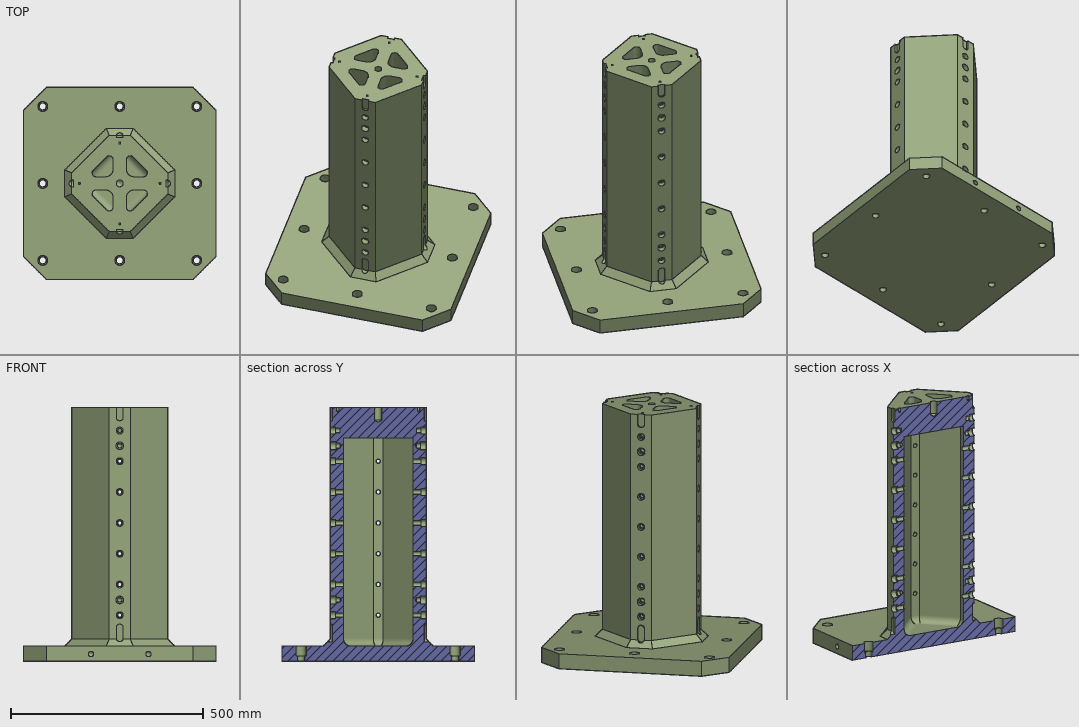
import cadquery as cq
import math

base_side = 500.0
base_thickness = 40.0
base_corner_cut = 60.0
mount_pitch = 200.0
mount_bore = 18.0
mount_counterbore = 26.0
mount_counterbore_depth = 26.0
side_hole_diameter = 14.0
side_hole_depth = 33.0
side_hole_offset = 74.5
side_hole_height = 19.0

total_height = 660.0
column_width = 250.0
narrow_face = 55.0
foot_size = 18.0

wall = 35.0
cap_thickness = 80.0
floor_fillet = 18.5

window_inset = 17.0
window_reach = 72.5
window_tip_radius = 10.0
window_inner_radius = 20.0
center_hole_diameter = 18.0
center_hole_depth = 33.0
pin_diameter = 5.0
pin_depth = 10.0
pin_offset = 105.0

end_row_below_top = 60.0
through_rows_below_top = (140.0, 220.0, 300.0, 380.0, 460.0, 540.0)
locating_rows_below_top = (99.5, 500.0)
thread_diameter = 10.5
thread_recess = 18.0
thread_recess_depth = 14.0
locating_bore = 20.0
locating_bore_depth = 16.0
locating_core = 12.0
blind_depth = 25.0
slot_width = 18.0
slot_depth = 5.0
top_slot_length = 35.0
foot_slot_bottom = 51.5
foot_slot_top = 97.0

drill_half_angle = math.radians(59)

half_width = column_width / 2
diagonal_half_width = (column_width + narrow_face) / 2 / math.sqrt(2)


def octagon(offset, z):
    """Column outline moved outward by offset and drawn at height z."""
    flat = half_width + offset
    half_face = (diagonal_half_width + offset) * math.sqrt(2) - flat
    points = []
    for turn in range(4):
        angle = turn * math.pi / 2
        for side in (-half_face, half_face):
            x = flat * math.cos(angle) - side * math.sin(angle)
            y = flat * math.sin(angle) + side * math.cos(angle)
            points.append((x, y))
    return cq.Workplane("XY").workplane(offset=z).polyline(points).close()


def drilled_hole(start, direction, diameter, depth):
    """Blind hole with a drill point, entering at start along direction."""
    radius = diameter / 2
    tip = radius / math.tan(drill_half_angle)
    start, direction = cq.Vector(*start), cq.Vector(*direction)
    bore = cq.Solid.makeCylinder(radius, depth, start, direction)
    point = cq.Solid.makeCone(radius, 0, tip, start + direction * depth, direction)
    return cq.Workplane(bore).union(cq.Workplane(point))


def base_plate():
    plate = cq.Workplane("XY").box(base_side, base_side, base_thickness, centered=(True, True, False))
    plate = plate.edges("|Z").chamfer(base_corner_cut)
    steps = (-1, 0, 1)
    spots = [(i * mount_pitch, j * mount_pitch) for i in steps for j in steps if (i, j) != (0, 0)]
    plate = (
        plate.faces(">Z")
        .workplane(origin=(0, 0, base_thickness))
        .pushPoints(spots)
        .cboreHole(mount_bore, mount_counterbore, mount_counterbore_depth)
    )
    for side in (-1, 1):
        entry = (side * side_hole_offset, -base_side / 2, side_hole_height)
        plate = plate.cut(drilled_hole(entry, (0, 1, 0), side_hole_diameter, side_hole_depth))
    return plate


def column():
    shaft = octagon(0, base_thickness).extrude(total_height - base_thickness)
    foot = octagon(foot_size, base_thickness).extrude(foot_size, taper=45)
    return shaft.union(foot)


def cavity():
    height = total_height - cap_thickness - base_thickness
    hollow = octagon(-wall, base_thickness).extrude(height)
    return hollow.faces("<Z").edges().fillet(floor_fillet)


def cap_window():
    """Triangular opening with its square corner towards the column axis."""
    far = window_reach * math.sqrt(2) - window_inset
    opening = (
        cq.Workplane("XY")
        .workplane(offset=total_height - cap_thickness)
        .polyline([(window_inset, window_inset), (far, window_inset), (window_inset, far)])
        .close()
        .extrude(cap_thickness)
    )
    inner_corner = cq.selectors.NearestToPointSelector((0, 0, total_height))
    opening = opening.edges("|Z").edges(inner_corner).fillet(window_inner_radius)
    tips = opening.edges("|Z").edges(">X or >Y")
    return tips.fillet(window_tip_radius)


def upright_slot(bottom, top):
    """Tool body for a slot in the -Y face, open outward past the foot."""
    return (
        cq.Workplane("XZ", origin=(0, -half_width + slot_depth, (bottom + top) / 2))
        .slot2D(top - bottom, slot_width, 90)
        .extrude(slot_depth + foot_size)
    )


def face_cutters():
    """All cuts made in the narrow -Y face of the column."""
    inward = (0, 1, 0)
    cutters = upright_slot(total_height - top_slot_length, total_height + slot_width)
    cutters = cutters.union(upright_slot(foot_slot_bottom, foot_slot_top))

    def entry(below_top):
        return (0, -half_width, total_height - below_top)

    def recess(below_top, diameter, depth):
        start = cq.Vector(*entry(below_top))
        return cq.Workplane(cq.Solid.makeCylinder(diameter / 2, depth, start, cq.Vector(*inward)))

    for below_top in through_rows_below_top:
        cutters = cutters.union(recess(below_top, thread_diameter, half_width))
        cutters = cutters.union(recess(below_top, thread_recess, thread_recess_depth))
    cutters = cutters.union(recess(end_row_below_top, thread_recess, thread_recess_depth))
    cutters = cutters.union(recess(end_row_below_top, thread_diameter, blind_depth))
    for below_top in locating_rows_below_top:
        cutters = cutters.union(recess(below_top, locating_bore, locating_bore_depth))
        cutters = cutters.union(drilled_hole(entry(below_top), inward, locating_core, blind_depth))
    return cutters


def pin_hole():
    return drilled_hole((0, -pin_offset, total_height), (0, 0, -1), pin_diameter, pin_depth)


result = base_plate().union(column()).cut(cavity())
quarter_cuts = (cap_window(), face_cutters(), pin_hole())
for angle in (0, 90, 180, 270):
    for cutter in quarter_cuts:
        result = result.cut(cutter.rotate((0, 0, 0), (0, 0, 1), angle))
result = result.cut(drilled_hole((0, 0, total_height), (0, 0, -1), center_hole_diameter, center_hole_depth))